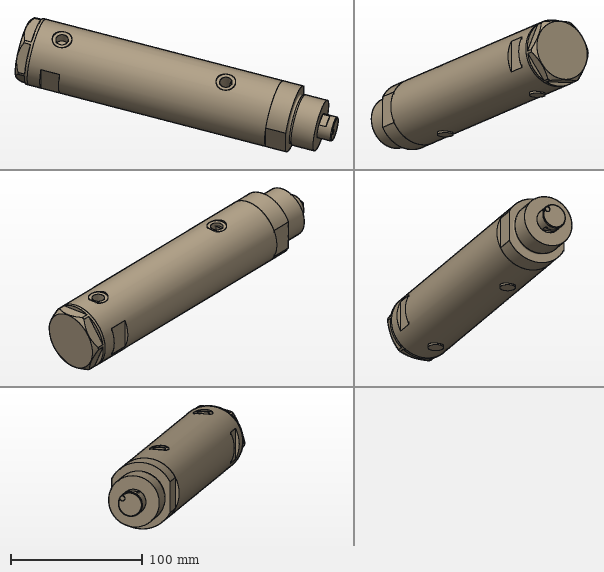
import cadquery as cq
import math


hex_length = 8.5
flange_length = 2.2
housing_start = hex_length + flange_length
housing_end = 200.5
collar_length = 16.0
collar_end = housing_end + collar_length
relief_length = 1.8
relief_fillet = 0.8
neck_chamfer_length = 1.5
neck_end = 237.3
shaft_end = 248.5
overall_length = 249.02

body_diameter = 52.0
body_radius = body_diameter / 2
neck_radius = 20.0
relief_radius = 19.0
shaft_radius = 9.5
plug_radius = 17.0
spigot_radius = 22.0

wrench_width = 46.0
first_corner_angle = 7.8
cap_chamfer = 3.25
plug_end = 45.0

housing_flat_start = 20.7
housing_flat_length = 15.0

port_positions = (30.35, 161.35)
port_diameter = 9.5
spotface_diameter = 15.0
spotface_height = 24.8
boss_positions = (34.9, 164.2)
boss_diameter = 12.0
boss_bottom = -27.1

spigot_start = 164.3

shaft_flat_width = 16.0
shaft_flat_end = 243.0
shaft_chamfer_length = 0.7
shaft_chamfer_depth = 0.6
drive_pin_diameter = 4.0
drive_pin_y = -6.0
drive_pin_z = 4.5


def cylinder(start, end, radius):
    """Solid cylinder on the X axis."""
    return cq.Workplane("YZ", origin=(start, 0, 0)).circle(radius).extrude(end - start)


def revolved(points):
    """Solid of revolution about the X axis from (x, radius) points."""
    return cq.Workplane("XY").polyline(points).close().revolve(360, (0, 0, 0), (1, 0, 0))


def upright(x, bottom, top, diameter):
    """Solid cylinder parallel to Z, centred over the X axis."""
    return cq.Workplane("XY", origin=(x, 0, bottom)).circle(diameter / 2).extrude(top - bottom)


def outside_flats(start, end, width, across):
    """Two blocks leaving a pair of flats `width` apart, facing along "Y" or "Z"."""
    length = end - start
    outside = body_diameter
    offset = (width + outside) / 2
    blocks = cq.Workplane("XY")
    for side in (-1, 1):
        centre_y = side * offset if across == "Y" else 0
        centre_z = side * offset if across == "Z" else 0
        block = cq.Workplane("XY", origin=((start + end) / 2, centre_y, centre_z))
        blocks = blocks.add(block.box(length, outside, outside))
    return blocks.combine()


def make_cap():
    """Hexagonal end cap with a flange and a plug that closes the bore."""
    corner_diameter = wrench_width / math.cos(math.radians(30))
    turn = 180 - first_corner_angle
    hexagon = (
        cq.Workplane("YZ")
        .transformed(rotate=(0, 0, turn))
        .polygon(6, corner_diameter)
        .extrude(hex_length)
    )
    rounding = cylinder(0, hex_length, body_radius).faces("<X").chamfer(cap_chamfer)
    flange = cylinder(hex_length, housing_start, body_radius)
    plug = cylinder(housing_start, plug_end, plug_radius)
    return hexagon.intersect(rounding).union(flange).union(plug)


def make_housing():
    """Cylindrical housing with bores, wrench flats, top ports and bottom bosses."""
    housing = cylinder(housing_start, housing_end, body_radius)
    for x in boss_positions:
        housing = housing.union(upright(x, boss_bottom, 0, boss_diameter))
    housing = housing.cut(
        outside_flats(housing_flat_start, housing_flat_start + housing_flat_length, wrench_width, "Y")
    )
    housing = housing.cut(cylinder(housing_start, plug_end, plug_radius))
    housing = housing.cut(cylinder(plug_end, spigot_start, shaft_radius))
    housing = housing.cut(cylinder(spigot_start, housing_end, spigot_radius))
    for x in port_positions:
        housing = housing.cut(upright(x, 0, body_radius, port_diameter))
        housing = housing.cut(upright(x, spotface_height, body_radius, spotface_diameter))
    return housing


def make_front_cover():
    """Front cover: spigot in the housing, flatted collar and neck with a relief groove."""
    relief_end = collar_end + relief_length
    neck_start = relief_end + neck_chamfer_length
    fillet_middle = relief_fillet * (1 - math.sqrt(0.5))
    cover = (
        cq.Workplane("XY")
        .moveTo(spigot_start, shaft_radius)
        .lineTo(spigot_start, spigot_radius)
        .lineTo(housing_end, spigot_radius)
        .lineTo(housing_end, body_radius)
        .lineTo(collar_end, body_radius)
        .lineTo(collar_end, relief_radius + relief_fillet)
        .threePointArc(
            (collar_end + fillet_middle, relief_radius + fillet_middle),
            (collar_end + relief_fillet, relief_radius),
        )
        .lineTo(relief_end, relief_radius)
        .lineTo(neck_start, neck_radius)
        .lineTo(neck_end, neck_radius)
        .lineTo(neck_end, shaft_radius)
        .close()
        .revolve(360, (0, 0, 0), (1, 0, 0))
    )
    return cover.cut(outside_flats(housing_end, collar_end, wrench_width, "Y"))


def make_shaft():
    """Output shaft with two flats, a chamfered end and an off-centre drive pin."""
    shaft = revolved(
        [
            (plug_end, 0),
            (plug_end, shaft_radius),
            (shaft_end - shaft_chamfer_length, shaft_radius),
            (shaft_end, shaft_radius - shaft_chamfer_depth),
            (shaft_end, 0),
        ]
    )
    shaft = shaft.cut(outside_flats(neck_end, shaft_flat_end, shaft_flat_width, "Z"))
    pin_root = shaft_end - shaft_chamfer_length
    drive_pin = (
        cq.Workplane("YZ", origin=(pin_root, drive_pin_y, drive_pin_z))
        .circle(drive_pin_diameter / 2)
        .extrude(overall_length - pin_root)
    )
    return shaft.union(drive_pin)


cap = make_cap()
housing = make_housing()
front_cover = make_front_cover()
shaft = make_shaft()

result = cq.Compound.makeCompound([cap.val(), housing.val(), front_cover.val(), shaft.val()])